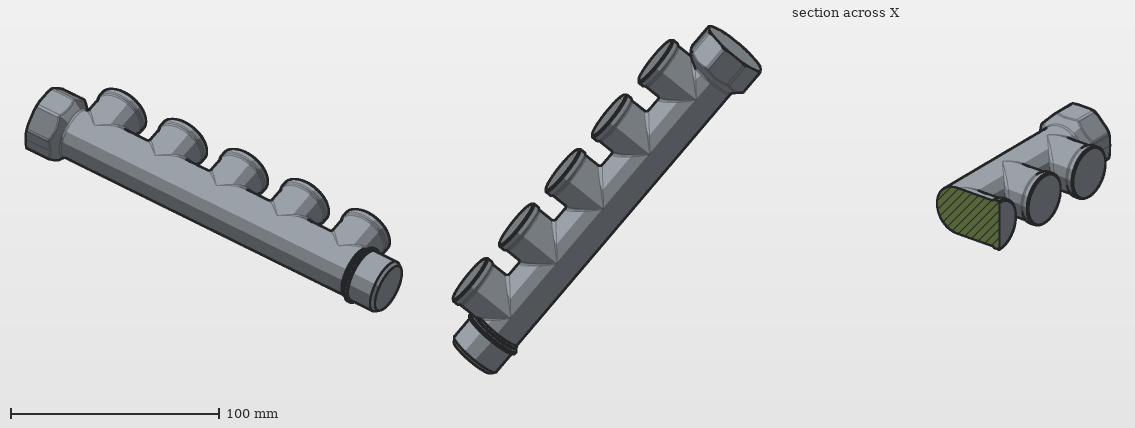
import cadquery as cq
import math

LENGTH = 198.0
TUBE_RADIUS = 12.5
AXIS_X = cq.Vector(1, 0, 0)

CAP_HALF_WIDTH = 15.9
CAP_SIDE_PEAK = 16.0
CAP_DRAFT = 1.0
CAP_FLAT_LENGTH = 14.3
CAP_CORNER_FILLET = 2.0
CAP_FACE_RADIUS = 16.3
CAP_FACE_SLOPE = 30.0
CAP_TURNING_RADIUS = 19.0
CAP_SHOULDER_FILLET = 1.0
CONE_FOOT_FILLET = 1.5
CONE_FOOT = CAP_FLAT_LENGTH + CAP_HALF_WIDTH - TUBE_RADIUS
CAP_STUB_END = CONE_FOOT + 2 * CONE_FOOT_FILLET

SHOULDER_START = 179.2
SHOULDER_END = 180.4
SHOULDER_RADIUS = 13.0
COLLAR_START = 181.0
COLLAR_CREST = 182.1
COLLAR_END = 183.4
COLLAR_RADIUS = 14.3
SPIGOT_RADIUS = 13.2
SPIGOT_CHAMFER_LENGTH = 2.0
SPIGOT_TIP_RADIUS = 11.8

TUBE_START = CAP_FLAT_LENGTH / 2
TUBE_END = (COLLAR_END + LENGTH) / 2

BRANCH_COUNT = 5
BRANCH_PITCH = 35.0
BRANCH_FIRST_X = (LENGTH - (BRANCH_COUNT - 1) * BRANCH_PITCH) / 2
BRANCH_RADIUS = 12.49
BRANCH_TOP = 25.9
CROTCH_FILLET = 1.5

RIM_RADIUS = 13.2
RIM_CHAMFER = 0.6
RIM_STRAIGHT_DEPTH = 3.1
RIM_FOOT_DEPTH = 4.7

BEYOND = 2 * BRANCH_TOP


def turned(points):
    """Solid of revolution about X from (x, radius) points."""
    return cq.Workplane("XY").polyline(points).close().revolve(360, (0, 0, 0), (1, 0, 0))


def edges_between(x_start, x_end):
    """Selects the edges centred between two planes across X."""
    return cq.selectors.BoxSelector((x_start, -BEYOND, -BEYOND), (x_end, BEYOND, BEYOND))


def cap_prism():
    """Octagonal prism with rounded corners, its two Y sides bent outward to a ridge."""
    corner_sum = CAP_HALF_WIDTH * math.sqrt(2)
    draft = math.tan(math.radians(CAP_DRAFT))
    top_y = corner_sum - CAP_HALF_WIDTH
    side_z = (corner_sum - CAP_SIDE_PEAK) / (1 - draft)
    side_y = corner_sum - side_z
    half_outline = [
        (CAP_SIDE_PEAK, 0),
        (side_y, side_z),
        (top_y, CAP_HALF_WIDTH),
        (-top_y, CAP_HALF_WIDTH),
        (-side_y, side_z),
    ]
    other_half = [(-y, -z) for y, z in half_outline]
    prism = cq.Workplane("YZ").polyline(half_outline + other_half).close().extrude(CAP_STUB_END)
    ridge_band = side_z / 2
    ridges = cq.selectors.BoxSelector((0, -BEYOND, -ridge_band), (LENGTH, BEYOND, ridge_band))
    corners = cq.selectors.ParallelDirSelector(AXIS_X) - ridges
    return prism.edges(corners).fillet(CAP_CORNER_FILLET)


def cap():
    """Cap with chamfered corners on its end face and a cone down to the tube."""
    face_chamfer = (CAP_TURNING_RADIUS - CAP_FACE_RADIUS) * math.tan(math.radians(CAP_FACE_SLOPE))
    cone_start = CONE_FOOT - (CAP_TURNING_RADIUS - TUBE_RADIUS)
    envelope = turned([
        (0, 0),
        (0, CAP_FACE_RADIUS),
        (face_chamfer, CAP_TURNING_RADIUS),
        (cone_start, CAP_TURNING_RADIUS),
        (CONE_FOOT, TUBE_RADIUS),
        (CAP_STUB_END, TUBE_RADIUS),
        (CAP_STUB_END, 0),
    ])
    blank = cap_prism().intersect(envelope)
    foot = edges_between(CONE_FOOT - CONE_FOOT_FILLET / 4, CONE_FOOT + CONE_FOOT_FILLET / 4)
    blank = blank.edges(foot).fillet(CONE_FOOT_FILLET)
    shoulder = edges_between(CAP_FLAT_LENGTH - CAP_CORNER_FILLET, CAP_FLAT_LENGTH)
    return blank.edges(shoulder).fillet(CAP_SHOULDER_FILLET)


def spigot():
    """Shoulder, collar and plain spigot with a chamfered tip."""
    return turned([
        (SHOULDER_START, 0),
        (SHOULDER_START, TUBE_RADIUS),
        (SHOULDER_END, SHOULDER_RADIUS),
        (COLLAR_START, SHOULDER_RADIUS),
        (COLLAR_CREST, COLLAR_RADIUS),
        (COLLAR_END, COLLAR_RADIUS),
        (COLLAR_END, SPIGOT_RADIUS),
        (LENGTH - SPIGOT_CHAMFER_LENGTH, SPIGOT_RADIUS),
        (LENGTH, SPIGOT_TIP_RADIUS),
        (LENGTH, 0),
    ])


def branch_positions():
    return [BRANCH_FIRST_X + i * BRANCH_PITCH for i in range(BRANCH_COUNT)]


def tube_with_branches():
    """Tube and branch pipes, the joints between them filleted."""
    body = cq.Workplane("YZ", origin=(TUBE_START, 0, 0)).circle(TUBE_RADIUS).extrude(TUBE_END - TUBE_START)
    for x in branch_positions():
        pipe = cq.Workplane("XZ", origin=(x, 0, 0)).circle(BRANCH_RADIUS).extrude(-BRANCH_TOP)
        body = body.union(pipe)
    margin = CROTCH_FILLET
    joints = cq.selectors.BoxSelector(
        (TUBE_START + margin, -margin, -BEYOND),
        (TUBE_END - margin, TUBE_RADIUS + margin, BEYOND),
    )
    return body.edges(joints).edges("not %LINE").fillet(CROTCH_FILLET)


def rim(x):
    """Rim with a chamfered mouth, its lower side an S-curve that runs out on the branch."""
    straight_end = BRANCH_TOP - RIM_STRAIGHT_DEPTH
    foot = BRANCH_TOP - RIM_FOOT_DEPTH
    middle = ((RIM_RADIUS + BRANCH_RADIUS) / 2, (straight_end + foot) / 2)
    profile = (
        cq.Workplane("XY", origin=(x, 0, 0))
        .moveTo(0, BRANCH_TOP)
        .lineTo(RIM_RADIUS - RIM_CHAMFER, BRANCH_TOP)
        .lineTo(RIM_RADIUS, BRANCH_TOP - RIM_CHAMFER)
        .lineTo(RIM_RADIUS, straight_end)
        .tangentArcPoint(middle, relative=False)
        .tangentArcPoint((BRANCH_RADIUS, foot), relative=False)
        .lineTo(0, foot)
        .close()
    )
    return profile.revolve(360, (0, 0, 0), (0, 1, 0))


result = tube_with_branches()
for branch_x in branch_positions():
    result = result.union(rim(branch_x))
result = result.union(cap()).union(spigot())